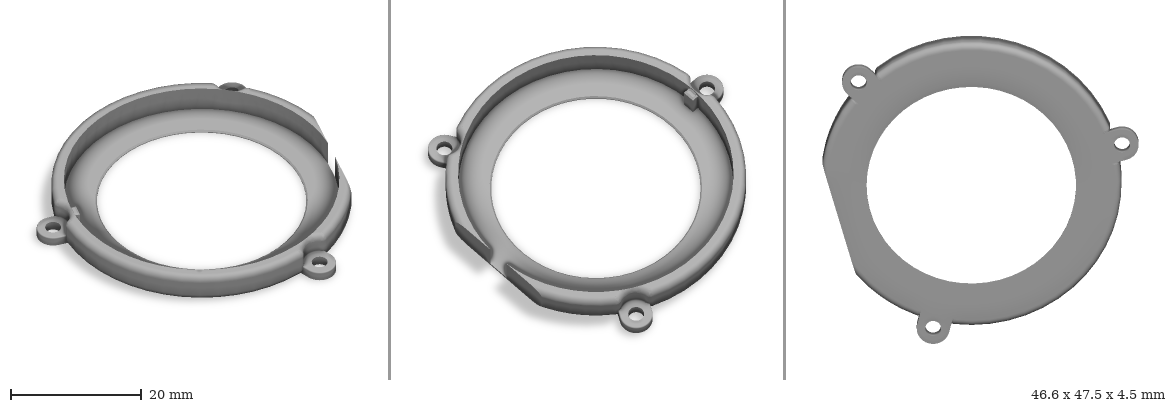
import cadquery as cq
import math

ring_radius = 23.0
ring_height = 4.5
rim_radius = 1.0
cavity_radius = 42.15 / 2
floor_thickness = 0.4
opening_radius = 32.0 / 2
opening_chamfer = 0.25
flat_y = 21.0

lug_angles = (30, 150, 270)
lug_centre_radius = 24.0
lug_radius = 2.5
lug_height = 1.5
lug_fillet = 0.2
tab_run = 3.6
lug_hole_radius = 2.4 / 2
scallop_corner_radius = 1.05

wall_overlap = 0.15

rib_width = 1.95
rib_depth = 1.1
rib_top = 4.0
rib_bevel_run = 0.35
rib_bevel_drop = 0.2
rib_back_bevel = 0.3


def cylinder(radius, bottom, top):
    return cq.Workplane("XY").workplane(offset=bottom).circle(radius).extrude(top - bottom)


def turned(shape, angle):
    return shape.rotate((0, 0, 0), (0, 0, 1), angle)


def lug_cylinder(radius, height):
    """Upright cylinder on the axis of a lug that lies on +X."""
    return cylinder(radius, 0, height).translate((lug_centre_radius, 0, 0))


def scalloped_ring():
    """Cup with a scallop at each lug and rounded outer rims."""
    ring = turned(cylinder(ring_radius, 0, ring_height), lug_angles[0])
    for angle in lug_angles:
        ring = ring.cut(turned(lug_cylinder(lug_radius, ring_height), angle))
    ring = ring.edges("|Z").fillet(scallop_corner_radius)
    ring = ring.faces("<Z").edges().fillet(rim_radius)
    ring = ring.cut(cylinder(cavity_radius, floor_thickness, ring_height))
    outer_rim = ring.faces(">Z").val().outerWire().Edges()
    return ring.newObject(outer_rim).fillet(rim_radius)


def lug_tab():
    """Round-ended tab on +X, running inwards under the wall, with a rounded top edge."""
    tab = (
        cq.Workplane("XY")
        .moveTo(lug_centre_radius, lug_radius)
        .threePointArc((lug_centre_radius + lug_radius, 0), (lug_centre_radius, -lug_radius))
        .hLine(-tab_run)
        .vLine(2 * lug_radius)
        .close()
        .extrude(lug_height)
    )
    tab = tab.faces(">Z").edges("not <X").fillet(lug_fillet)
    return tab.cut(cylinder(cavity_radius + wall_overlap, floor_thickness, ring_height))


def lug_root():
    """Concave fillet between the top of a lug on +X and its scallop wall."""
    corner_reach = lug_radius + scallop_corner_radius
    corner_orbit = ring_radius - scallop_corner_radius
    half_angle = math.degrees(
        math.acos(
            (corner_reach**2 + lug_centre_radius**2 - corner_orbit**2)
            / (2 * corner_reach * lug_centre_radius)
        )
    )
    inner = -lug_radius + lug_fillet
    arc_middle = lug_fillet * (1 - math.sqrt(0.5))
    profile = (
        cq.Workplane("XZ")
        .moveTo(inner, lug_height)
        .threePointArc(
            (-lug_radius + arc_middle, lug_height + arc_middle),
            (-lug_radius, lug_height + lug_fillet),
        )
        .hLine(-wall_overlap)
        .vLine(-lug_fillet - wall_overlap)
        .hLineTo(inner)
        .close()
    )
    root = profile.revolve(2 * half_angle, (0, 0, 0), (0, 1, 0))
    return turned(root, -half_angle).translate((lug_centre_radius, 0, 0))


def rib():
    """Rib with bevelled front and sides and a small bevel up to the wall behind it."""
    back = -cavity_radius - wall_overlap
    front = -cavity_radius + rib_depth
    shoulder = rib_top - rib_bevel_drop
    back_top = rib_top + rib_back_bevel
    side_profile = [
        (back, floor_thickness),
        (front, floor_thickness),
        (front, shoulder),
        (front - rib_bevel_run, rib_top),
        (-cavity_radius + rib_back_bevel, rib_top),
        (-cavity_radius, back_top),
        (back, back_top),
    ]
    side = cq.Workplane("YZ").polyline(side_profile).close().extrude(rib_width / 2, both=True)
    half_base = rib_width / 2
    half_top = half_base - rib_bevel_run
    front_profile = [
        (-half_base, floor_thickness),
        (half_base, floor_thickness),
        (half_base, shoulder),
        (half_top, rib_top),
        (half_top, back_top),
        (-half_top, back_top),
        (-half_top, rib_top),
        (-half_base, shoulder),
    ]
    across = cq.Workplane("XZ").polyline(front_profile).close().extrude(ring_radius)
    return side.intersect(across)


def opening():
    """Round opening through the floor, widened by a chamfer at its upper edge."""
    widest = opening_radius + opening_chamfer
    profile = [
        (0, 0),
        (opening_radius, 0),
        (opening_radius, floor_thickness - opening_chamfer),
        (widest, floor_thickness),
        (0, floor_thickness),
    ]
    return cq.Workplane("XZ").polyline(profile).close().revolve(360, (0, 0, 0), (0, 1, 0))


def beyond_flat():
    """Block that removes everything past the flat, slicing the wall open at +Y."""
    block = cq.Workplane("XY").box(2 * ring_radius, ring_radius, ring_height, centered=(True, False, False))
    return block.translate((0, flat_y, 0))


body = scalloped_ring()
for angle in lug_angles:
    body = body.union(turned(lug_tab(), angle))
    body = body.union(turned(lug_root(), angle))
    body = body.cut(turned(lug_cylinder(lug_hole_radius, lug_height), angle))
result = body.union(rib()).cut(opening()).cut(beyond_flat()).clean()